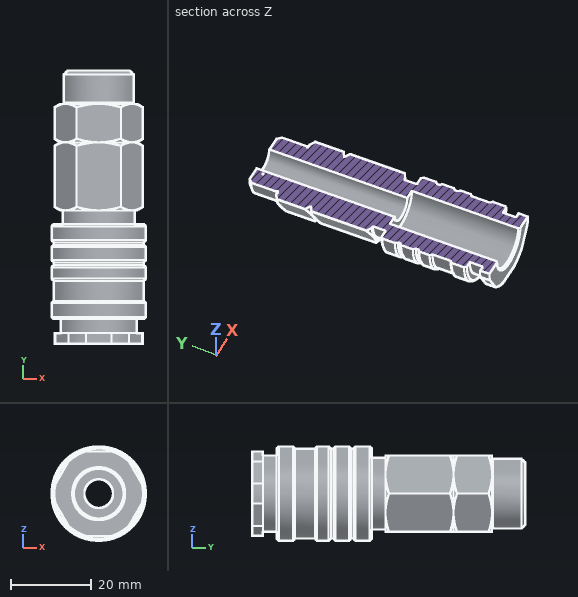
import cadquery as cq
import math

length = 68.0

flange_diameter = 22.0
flange_flats = 21.1
flange_end = 2.65

neck_diameter = 19.05
sleeve_start = 6.1
sleeve_end = 29.8
sleeve_diameter = 22.45
rib_diameter = 23.5
rib_chamfer = (rib_diameter - sleeve_diameter) / 2
ribs = [(sleeve_start, 10.7), (15.65, 19.6), (20.25, 24.6), (25.2, sleeve_end)]

collar_diameter = 17.95
hex_flats = 19.05
hex_chamfer_angle = 30.0
body_hex_start = 33.2
hex_joint = 50.1
nut_hex_end = 59.7

spigot_diameter = 17.5
spigot_chamfer = 1.0
relief_diameter = 17.0
relief_width = 0.3

socket_diameter = 12.4
socket_depth = sleeve_end
socket_chamfer = 0.4
passage_diameter = 7.1


def corner_diameter(flats):
    """Diameter across the corners of a hexagon with the given distance across flats."""
    return flats / math.cos(math.radians(30))


def cylinder(diameter, start, end):
    """Cylinder on the Y axis between two positions."""
    plane = cq.Plane(origin=(0, start, 0), xDir=(1, 0, 0), normal=(0, 1, 0))
    return cq.Workplane(plane).circle(diameter / 2).extrude(end - start)


def hexagon(flats, start, end):
    """Hexagonal prism on the Y axis with flats facing up and down."""
    plane = cq.Plane(origin=(0, start, 0), xDir=(1, 0, 0), normal=(0, 1, 0))
    return cq.Workplane(plane).polygon(6, corner_diameter(flats)).extrude(end - start)


def chamfered_hexagon(start, end):
    """Hexagonal prism whose corners are turned off by a cone at both ends."""
    corner_radius = corner_diameter(hex_flats) / 2
    end_radius = hex_flats / 2
    depth = (corner_radius - end_radius) * math.tan(math.radians(hex_chamfer_angle))
    envelope = (
        cq.Workplane("XY")
        .moveTo(0, start)
        .lineTo(end_radius, start)
        .lineTo(corner_radius, start + depth)
        .lineTo(corner_radius, end - depth)
        .lineTo(end_radius, end)
        .lineTo(0, end)
        .close()
        .revolve(360, (0, 0, 0), (0, 1, 0))
    )
    return hexagon(hex_flats, start, end).intersect(envelope)


def flange():
    disc = cylinder(flange_diameter, 0, flange_end)
    return disc.intersect(hexagon(flange_flats, 0, flange_end))


def sleeve():
    body = cylinder(sleeve_diameter, sleeve_start, sleeve_end)
    for start, end in ribs:
        body = body.union(cylinder(rib_diameter, start, end).faces("<Y or >Y").chamfer(rib_chamfer))
    return body


def spigot():
    relief_end = nut_hex_end + relief_width
    relief = cylinder(relief_diameter, nut_hex_end, relief_end)
    barrel = cylinder(spigot_diameter, relief_end, length).faces(">Y").chamfer(spigot_chamfer)
    return relief.union(barrel)


def bore():
    """Through passage with a wider socket, its mouth countersunk at 45 degrees."""
    socket_radius = socket_diameter / 2
    passage_radius = passage_diameter / 2
    return (
        cq.Workplane("XY")
        .lineTo(socket_radius + socket_chamfer, 0)
        .lineTo(socket_radius, socket_chamfer)
        .lineTo(socket_radius, socket_depth)
        .lineTo(passage_radius, socket_depth)
        .lineTo(passage_radius, length)
        .lineTo(0, length)
        .close()
        .revolve(360, (0, 0, 0), (0, 1, 0))
    )


result = (
    flange()
    .union(cylinder(neck_diameter, flange_end, sleeve_start))
    .union(sleeve())
    .union(cylinder(collar_diameter, sleeve_end, body_hex_start))
    .union(chamfered_hexagon(body_hex_start, hex_joint))
    .union(chamfered_hexagon(hex_joint, nut_hex_end))
    .union(spigot())
    .cut(bore())
)